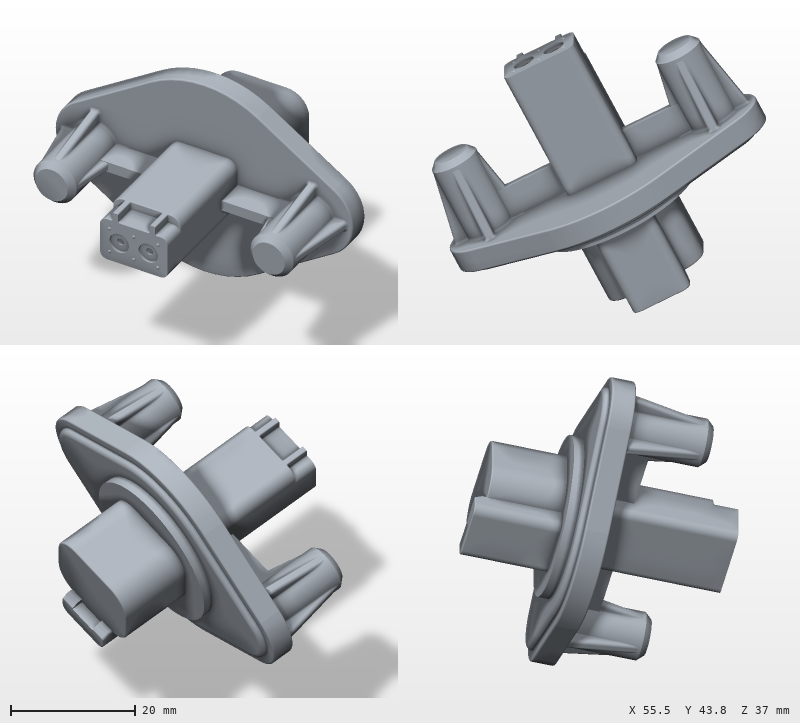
import cadquery as cq
import math


TOLERANCE = 0.05

STUD_OFFSET = 20.25
SMALL_RADIUS = 7.5
BIG_RADIUS = 18.5
FLANGE_THICKNESS = 4.0
FLANGE_EDGE_ROUND = 0.3

PAD_INSET = 1.75
PAD_TOP = 5.0
PAD_ROUND = 0.95
DISC_RADIUS = 13.33
DISC_TOP = 6.7

STUD_RADIUS = 4.0
STUD_LENGTH = 14.0
STUD_CHAMFER = 1.0
STUD_CHAMFER_LENGTH = 1.1
RIB_WIDTH = 1.6
RIB_REACH = 6.35
RIB_LENGTH = 12.3
RIB_ROUND = 0.5
RIB_SIDE_FILLET = 0.3
STUD_BASE_FILLET = 0.45

WEB_THICKNESS = 1.9
WEB_DEPTH = 5.1

FRONT_WIDTH = 12.6
FRONT_TOP = 5.6
FRONT_BOTTOM = -3.95
FRONT_LENGTH = 22.45
FRONT_TOP_RADIUS = 2.0
FRONT_BOTTOM_RADIUS = 1.3
NOTCH_LENGTH = 4.15
NOTCH_FLOOR = -FRONT_BOTTOM
NOTCH_FILLET = 0.2
NOTCH_RIM_ROUND = 0.2
RAIL_INNER = 2.95
RAIL_OUTER = 4.0
PIN_RADIUS = 0.3
PIN_HEIGHT = 0.2
PIN_PITCH_X = 4.5
PIN_OFFSET_Z = 2.25
SOCKET_OFFSET = 2.7
SOCKET_RADIUS = 1.8
SOCKET_DEPTH = 0.5
CONTACT_RADIUS = 0.65
CONTACT_DEPTH = 0.4

REAR_WIDTH = 17.2
REAR_TOP = 7.83
REAR_BOTTOM = -5.7
REAR_END = 19.14
REAR_CORNER = 4.25
REAR_END_ROUND = 0.25
KEY_WIDTH = 10.3
KEY_TOP = -5.25
KEY_BOTTOM = -9.24
KEY_END = 21.13
KEY_CORNER = 1.5
KEY_RAMP_DROP = 0.7
KEY_RAMP_LENGTH = 1.2
KEY_SIDE_ROUND = 0.4
KEY_END_ROUND = 0.2
KEY_GROOVE_WIDTH = 5.1
KEY_GROOVE_FLOOR = -6.2


def block(x0, x1, y0, y1, z0, z1):
    """Axis-aligned box given by its limits."""
    return cq.Workplane("XY").box(x1 - x0, y1 - y0, z1 - z0, centered=False).translate((x0, y0, z0))


def flange_slab(inset, thickness):
    """Slab of the rounded-diamond outline, shrunk by `inset`, from y = 0 toward +Y."""
    big = BIG_RADIUS - inset
    small = SMALL_RADIUS - inset
    sine = (BIG_RADIUS - SMALL_RADIUS) / STUD_OFFSET
    cosine = math.sqrt(1 - sine**2)
    bx, bz = big * sine, big * cosine
    sx, sz = STUD_OFFSET + small * sine, small * cosine
    tip = STUD_OFFSET + small
    return (
        cq.Workplane("XZ")
        .moveTo(-bx, bz)
        .threePointArc((0, big), (bx, bz))
        .lineTo(sx, sz)
        .threePointArc((tip, 0), (sx, -sz))
        .lineTo(bx, -bz)
        .threePointArc((0, -big), (-bx, -bz))
        .lineTo(-sx, -sz)
        .threePointArc((-tip, 0), (-sx, sz))
        .close()
        .extrude(-thickness)
    )


def make_flange():
    """Flange with the round-edged pad and the disc behind it."""
    flange = flange_slab(0, FLANGE_THICKNESS).faces("<Y or >Y").edges().fillet(FLANGE_EDGE_ROUND)
    pad = flange_slab(PAD_INSET, PAD_TOP).faces(">Y").edges().fillet(PAD_ROUND)
    disc = cq.Workplane("XZ").circle(DISC_RADIUS).extrude(-DISC_TOP)
    return flange.union(pad).union(disc)


def make_rib():
    """Rib along +X whose rounded crest slopes down into the stud."""
    rib = (
        cq.Workplane("XY", origin=(0, 0, -RIB_WIDTH / 2))
        .moveTo(0, 0)
        .lineTo(RIB_REACH, 0)
        .lineTo(STUD_RADIUS, -RIB_LENGTH)
        .lineTo(0, -RIB_LENGTH)
        .close()
        .extrude(RIB_WIDTH)
    )
    crest = cq.selectors.BoxSelector(
        (STUD_RADIUS + TOLERANCE, -RIB_LENGTH + TOLERANCE, -RIB_WIDTH),
        (RIB_REACH, -TOLERANCE, RIB_WIDTH),
    )
    return rib.edges(crest).fillet(RIB_ROUND)


def make_stud():
    """Stud on the Y axis with a chamfered tip and four ribs blended into its side."""
    stud = cq.Workplane("XZ").circle(STUD_RADIUS).extrude(STUD_LENGTH)
    stud = stud.faces("<Y").edges().chamfer(STUD_CHAMFER_LENGTH, STUD_CHAMFER)
    rib = make_rib()
    for quarter in range(4):
        stud = stud.union(rib.rotate((0, 0, 0), (0, 1, 0), 90 * quarter))

    half_width = RIB_WIDTH / 2
    root = math.sqrt(STUD_RADIUS**2 - half_width**2)
    corners = [(u * root, v * half_width) for u in (-1, 1) for v in (-1, 1)]
    corners += [(z, x) for x, z in corners]
    rib_sides = None
    for x, z in corners:
        corner = cq.selectors.BoxSelector(
            (x - TOLERANCE, -RIB_LENGTH + RIB_ROUND, z - TOLERANCE),
            (x + TOLERANCE, -RIB_ROUND, z + TOLERANCE),
        )
        rib_sides = corner if rib_sides is None else rib_sides + corner
    return stud.edges(rib_sides).fillet(RIB_SIDE_FILLET)


def add_studs(body):
    """Set both studs on the flange face and fillet the outline where they meet it."""
    stud = make_stud()
    footprint = RIB_REACH + TOLERANCE
    for x in (-STUD_OFFSET, STUD_OFFSET):
        base = cq.selectors.BoxSelector(
            (x - footprint, -TOLERANCE, -footprint),
            (x + footprint, TOLERANCE, footprint),
        )
        body = body.union(stud.translate((x, 0, 0))).edges(base).fillet(STUD_BASE_FILLET)
    return body


def make_web():
    half = WEB_THICKNESS / 2
    """Straight bar from one stud to the other along the flange face."""
    return block(-STUD_OFFSET, STUD_OFFSET, -WEB_DEPTH, 0, -half, half)


def make_pins():
    """Six low spherical domes on the front connector's end face."""
    ball_radius = (PIN_RADIUS**2 + PIN_HEIGHT**2) / (2 * PIN_HEIGHT)
    ball_center = -FRONT_LENGTH - PIN_HEIGHT + ball_radius
    return (
        cq.Workplane("XZ", origin=(0, ball_center, 0))
        .rarray(PIN_PITCH_X, 2 * PIN_OFFSET_Z, 3, 2)
        .sphere(ball_radius)
    )


def make_front_connector():
    """Front connector with a railed notch, two contact sockets and end-face domes."""
    half = FRONT_WIDTH / 2
    shoulder = -FRONT_LENGTH + NOTCH_LENGTH
    shell = block(-half, half, shoulder, 0, FRONT_BOTTOM, FRONT_TOP)
    shell = shell.edges("|Y and >Z").fillet(FRONT_TOP_RADIUS)
    shell = shell.edges("|Y and <Z").fillet(FRONT_BOTTOM_RADIUS)
    nose = block(-half, half, -FRONT_LENGTH, shoulder, FRONT_BOTTOM, NOTCH_FLOOR)
    shell = shell.union(nose.edges("|Y").fillet(FRONT_BOTTOM_RADIUS))
    for inner, outer in ((RAIL_INNER, RAIL_OUTER), (-RAIL_OUTER, -RAIL_INNER)):
        shell = shell.union(block(inner, outer, -FRONT_LENGTH, shoulder, 0, FRONT_TOP))

    pocket_floor = cq.selectors.BoxSelector(
        (-RAIL_OUTER - TOLERANCE, -FRONT_LENGTH + TOLERANCE, NOTCH_FLOOR - TOLERANCE),
        (RAIL_OUTER + TOLERANCE, shoulder + TOLERANCE, FRONT_TOP - TOLERANCE),
    )
    notch_rim = cq.selectors.BoxSelector(
        (-half, -FRONT_LENGTH + TOLERANCE, FRONT_TOP - TOLERANCE),
        (half, shoulder + TOLERANCE, FRONT_TOP + TOLERANCE),
    )
    shell = shell.edges(pocket_floor).fillet(NOTCH_FILLET)
    shell = shell.edges(notch_rim).fillet(NOTCH_RIM_ROUND)

    face = cq.Workplane("XZ", origin=(0, -FRONT_LENGTH, 0))
    sockets = [(-SOCKET_OFFSET, 0), (SOCKET_OFFSET, 0)]
    shell = shell.cut(face.pushPoints(sockets).circle(SOCKET_RADIUS).extrude(-SOCKET_DEPTH))
    shell = shell.cut(face.pushPoints(sockets).circle(CONTACT_RADIUS).extrude(-SOCKET_DEPTH - CONTACT_DEPTH))
    return shell.union(make_pins())


def make_rear_connector():
    """Solid rear connector body with rounded corners."""
    half = REAR_WIDTH / 2
    shell = block(-half, half, 0, REAR_END, REAR_BOTTOM, REAR_TOP)
    shell = shell.edges("|Y").fillet(REAR_CORNER)
    return shell.faces(">Y").edges().fillet(REAR_END_ROUND)


def make_key():
    """Key under the rear connector: ramped end, rounded sides and a groove past the connector's end."""
    half = KEY_WIDTH / 2
    ramp_end = KEY_TOP - KEY_RAMP_DROP
    key = (
        cq.Workplane("YZ", origin=(-half, 0, 0))
        .moveTo(0, KEY_TOP)
        .lineTo(KEY_END - KEY_RAMP_LENGTH, KEY_TOP)
        .lineTo(KEY_END, ramp_end)
        .lineTo(KEY_END, KEY_BOTTOM)
        .lineTo(0, KEY_BOTTOM)
        .close()
        .extrude(KEY_WIDTH)
    )
    key = key.edges("|Y and <Z").fillet(KEY_CORNER)
    ramp_sides = cq.selectors.BoxSelector(
        (-half - TOLERANCE, TOLERANCE, ramp_end + TOLERANCE),
        (half + TOLERANCE, KEY_END - TOLERANCE, KEY_TOP + TOLERANCE),
    ) - cq.selectors.ParallelDirSelector(cq.Vector(1, 0, 0))
    key = key.edges(ramp_sides).fillet(KEY_SIDE_ROUND)
    key = key.faces(">Y").edges().fillet(KEY_END_ROUND)
    groove_half = KEY_GROOVE_WIDTH / 2
    return key.cut(block(-groove_half, groove_half, REAR_END, KEY_END, KEY_GROOVE_FLOOR, KEY_TOP))


result = add_studs(make_flange())
for part in (make_web(), make_front_connector(), make_rear_connector(), make_key()):
    result = result.union(part)